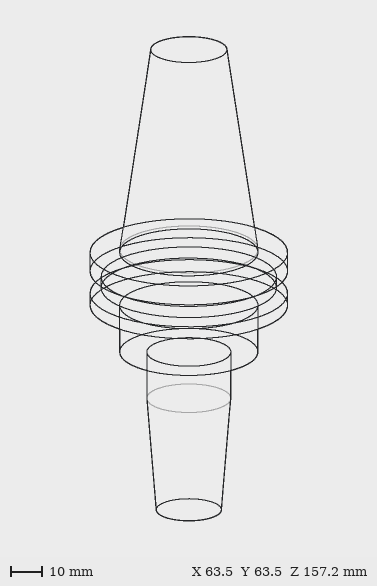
import cadquery as cq


gauge_diameter = 44.45
shank_length = 68.25
taper_ratio = 7 / 24
shank_end_diameter = gauge_diameter - taper_ratio * shank_length

flange_diameter = 63.5
flange_top_depth = 1.0
flange_bottom_depth = 19.05
groove_diameter = 56.3
groove_middle_depth = 11.2
groove_floor_width = 3.8
groove_mouth_width = 7.5

collar_diameter = 44.45
collar_bottom_depth = 35.0
nose_diameter = 27.0
nose_taper_depth = 50.8
tip_diameter = 21.0
tip_depth = 88.9


def make_holder():
    """Revolve the half outline, listed as (diameter, z) from the top down."""
    steps = [
        (0, shank_length),
        (shank_end_diameter, shank_length),
        (gauge_diameter, 0),
        (gauge_diameter, -flange_top_depth),
        (flange_diameter, -flange_top_depth),
        (flange_diameter, -groove_middle_depth + groove_mouth_width / 2),
        (groove_diameter, -groove_middle_depth + groove_floor_width / 2),
        (groove_diameter, -groove_middle_depth - groove_floor_width / 2),
        (flange_diameter, -groove_middle_depth - groove_mouth_width / 2),
        (flange_diameter, -flange_bottom_depth),
        (collar_diameter, -flange_bottom_depth),
        (collar_diameter, -collar_bottom_depth),
        (nose_diameter, -collar_bottom_depth),
        (nose_diameter, -nose_taper_depth),
        (tip_diameter, -tip_depth),
        (0, -tip_depth),
    ]
    outline = [(diameter / 2, z) for diameter, z in steps]
    axis_start = (0, 0)
    axis_end = (0, 1)
    return cq.Workplane("XZ").polyline(outline).close().revolve(360, axis_start, axis_end)


result = make_holder()